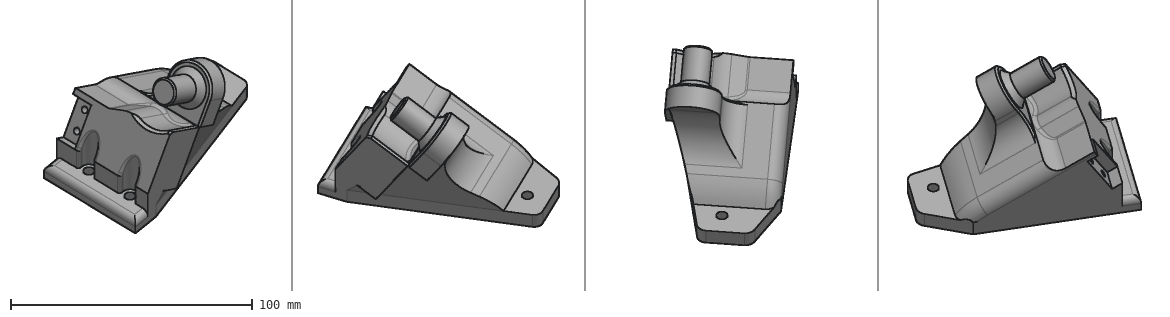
import cadquery as cq
import math

width = 50.0
length = 92.6
foot_height = 7.0
front_step = 8.0
front_round = 3.1
left_corner_round = 4.6
right_corner_round = 4.0
left_taper_start = 71.1
rear_left = 10.4
rear_right = 32.5
right_taper = 0.22
side_draft = 0.22
margin = 0.2
tool_size = 185.3

tilt = math.radians(30)
nose_height = 17.1
slope_v = 28.7
slope_end_u = 53.1
tail_radius = 30.4
edge_round = 6.0

shelf_v = 23.7
lug_face_u = 21.0
shelf_radius = 6.95

lug_radius = 11.5
pin_x = width - lug_radius
pin_v = 41.4
lug_thickness = 10.1
lug_chamfer = 0.9
lug_side_fillet = 10.0
lug_back_fillet = 18.0
pin_radius = 5.9
pin_end_u = 3.0
pin_chamfer = 0.7
cone_radius = 9.0
cone_length = 3.0

saddle_radius = 16.0
hump_start_x = 18.5
crest_radius = 10.3
hump_angle = math.radians(20.6)
lip_width = 1.7
saddle_blend = 2.0
saddle_chamfer = 1.1
saddle_chamfer_length = 1.85

notch_width = 10.0
notch_length = 20.8
notch_depth = 5.0
notch_hole_radius = 1.5
notch_hole_pitch = 10.0
notch_hole_depth = 10.0
screw_radius = 2.3
slot_radius = 3.9
slot_edge_round = 1.3
slot_pitch = 22.5
slot_xs = (pin_x - slot_pitch, pin_x)
slot_y = 9.9
rear_hole = (23.4, 83.1)


def yz(u, v):
    """Convert a tilted (u, v) point to (Y, Z)."""
    return (front_step + u * math.cos(tilt) + v * math.sin(tilt),
            nose_height - u * math.sin(tilt) + v * math.cos(tilt))


def across(u):
    """Workplane with axes X and v at depth u; positive extrusion goes toward the front."""
    y, z = yz(u, 0)
    return cq.Workplane(cq.Plane((0, y, z), (1, 0, 0), (0, -math.cos(tilt), math.sin(tilt))))


def along():
    """Workplane with axes u and v at X = 0; positive extrusion goes toward +X."""
    return cq.Workplane(
        cq.Plane((0, front_step, nose_height), (0, math.cos(tilt), -math.sin(tilt)), (1, 0, 0)))


def foot_plan():
    """Plan outline behind the front ledge, with the right side still straight where drafted."""
    right_start = length - (width - rear_right) / right_taper
    return [(0, front_step), (width, front_step), (width, right_start),
            (rear_right, length), (rear_left, length), (0, left_taper_start)]


def make_foot():
    plate = cq.Workplane("XY").polyline(foot_plan()).close().extrude(foot_height)
    plate = plate.edges("|Z and >Y").edges("<X").fillet(left_corner_round)
    plate = plate.edges(cq.selectors.NearestToPointSelector((rear_right, length, foot_height / 2)))
    plate = plate.fillet(right_corner_round)
    ledge = cq.Workplane("XY").box(width, front_step, foot_height, centered=False)
    ledge = ledge.faces(">Z").edges("<Y or <X or >X").fillet(front_round)
    return plate.union(ledge)


def make_side_trim():
    """Material outside the right side: vertical beside the foot, leaning outward above it."""
    taper_length = math.hypot(1, right_taper)
    outward = (1 / taper_length, right_taper / taper_length, 0)
    toward_front = (right_taper / taper_length, -1 / taper_length, 0)
    trim_plane = cq.Plane((rear_right, length, 0), outward, toward_front)
    rise = tool_size - foot_height
    return (cq.Workplane(trim_plane)
            .polyline([(0, 0), (0, foot_height), (side_draft * rise, tool_size),
                       (tool_size, tool_size), (tool_size, 0)])
            .close().extrude(tool_size / 2, both=True))


def make_wedge():
    center_y, center_z = yz(slope_end_u, slope_v - tail_radius)
    tail_y = center_y + math.sqrt(tail_radius**2 - center_z**2)
    end_angle = math.atan2(-center_z, tail_y - center_y)
    mid_angle = (math.pi / 2 - tilt + end_angle) / 2
    tail_mid = (center_y + tail_radius * math.cos(mid_angle),
                center_z + tail_radius * math.sin(mid_angle))
    wedge = (cq.Workplane("YZ").moveTo(front_step, 0).lineTo(*yz(0, 0)).lineTo(*yz(0, slope_v))
             .lineTo(*yz(slope_end_u, slope_v)).threePointArc(tail_mid, (tail_y, 0))
             .close().extrude(width))
    slope_y, slope_z = yz(slope_end_u / 2, slope_v)
    wedge = wedge.edges(cq.selectors.NearestToPointSelector((0, slope_y, slope_z))).fillet(edge_round)
    plan = cq.Workplane("XY").polyline(foot_plan()[:2] + [(width, length)] + foot_plan()[4:])
    wedge = wedge.intersect(plan.close().extrude(tool_size)).cut(make_side_trim())

    corner = shelf_radius * (1 - math.sqrt(0.5))
    shelf = (along().moveTo(-slope_v, shelf_v).lineTo(lug_face_u - shelf_radius, shelf_v)
             .threePointArc((lug_face_u - corner, shelf_v + corner),
                            (lug_face_u, shelf_v + shelf_radius))
             .lineTo(lug_face_u, tool_size).lineTo(-slope_v, tool_size).close().extrude(width))
    return wedge.cut(shelf)


def make_lug():
    """Front outline of the lug, limited by the curved back that runs out into the slope."""
    left = pin_x - lug_radius
    root = slope_v + lug_side_fillet
    side_corner = lug_side_fillet * (1 - math.sqrt(0.5))
    depth = lug_thickness + lug_back_fillet
    front = (across(lug_face_u).moveTo(width, shelf_v).lineTo(width, pin_v)
             .threePointArc((pin_x, pin_v + lug_radius), (left, pin_v)).lineTo(left, root)
             .threePointArc((left - side_corner, slope_v + side_corner),
                            (left - lug_side_fillet, slope_v))
             .lineTo(left, shelf_v).close().extrude(-depth))
    above_slope = cq.selectors.BoxSelector(
        (left - tool_size, -tool_size, yz(lug_face_u, slope_v)[1] + lug_chamfer),
        (tool_size, tool_size, tool_size))
    front = front.faces(cq.selectors.DirectionMinMaxSelector(
        cq.Vector(0, -math.cos(tilt), math.sin(tilt)))).edges(above_slope).chamfer(lug_chamfer)

    back_u = lug_face_u + lug_thickness
    back_corner = lug_back_fillet * (1 - math.sqrt(0.5))
    side = (along().moveTo(lug_face_u, shelf_v).lineTo(lug_face_u, pin_v + 2 * lug_radius)
            .lineTo(back_u, pin_v + 2 * lug_radius).lineTo(back_u, slope_v + lug_back_fillet)
            .threePointArc((back_u + back_corner, slope_v + back_corner),
                           (back_u + lug_back_fillet, slope_v))
            .lineTo(back_u, shelf_v).close().extrude(width))
    lug = front.intersect(side)

    ear = (along().moveTo(lug_face_u, slope_v).lineTo(back_u, slope_v)
           .lineTo(back_u, pin_v + 2 * lug_radius).lineTo(lug_face_u, pin_v + 2 * lug_radius)
           .close().extrude(width).intersect(lug))
    return lug.cut(make_side_trim()).union(ear)


def make_pin():
    cone_u = lug_face_u - cone_length
    return (along().moveTo(lug_face_u + lug_chamfer, pin_v)
            .lineTo(lug_face_u + lug_chamfer, pin_v + cone_radius)
            .lineTo(lug_face_u, pin_v + cone_radius).lineTo(cone_u, pin_v + pin_radius)
            .lineTo(pin_end_u + pin_chamfer, pin_v + pin_radius)
            .lineTo(pin_end_u, pin_v + pin_radius - pin_chamfer).lineTo(pin_end_u, pin_v)
            .close().revolve(360, (0, pin_v, 0), (1, pin_v, 0))
            .translate((pin_x, 0, 0)))


def make_saddle():
    """Sloped hump with a round crest, then a trough concentric with the pin and a side lip."""
    blend_x = pin_x - saddle_radius * math.sin(hump_angle)
    blend_v = pin_v - saddle_radius * math.cos(hump_angle)
    crest_x = blend_x - crest_radius * math.sin(hump_angle)
    crest_v = blend_v + crest_radius * (1 - math.cos(hump_angle))
    lip_x = width - lip_width
    lip_v = pin_v - math.sqrt(saddle_radius**2 - (lip_x - pin_x)**2)
    saddle = (across(lug_face_u).moveTo(hump_start_x, shelf_v)
              .lineTo(2 * crest_x - blend_x, blend_v)
              .threePointArc((crest_x, crest_v), (blend_x, blend_v))
              .threePointArc((pin_x, pin_v - saddle_radius), (lip_x, lip_v))
              .lineTo(width, lip_v).lineTo(width, 0).lineTo(hump_start_x, 0)
              .close().extrude(lug_face_u))
    flare = (along().moveTo(0, pin_v).lineTo(0, pin_v - saddle_radius - saddle_chamfer)
             .lineTo(saddle_chamfer_length, pin_v - saddle_radius)
             .lineTo(saddle_chamfer_length, pin_v)
             .close().revolve(360, (0, pin_v, 0), (1, pin_v, 0))
             .translate((pin_x, 0, 0)))
    lip_top = yz(saddle_chamfer_length, lip_v)[1]
    above_lip = cq.Workplane("XY", origin=(0, 0, lip_top)).rect(tool_size, tool_size).extrude(tool_size)
    nose = across(0).rect(tool_size, tool_size).extrude(-saddle_chamfer_length)
    return saddle.cut(flare).cut(nose.intersect(above_lip))


def cut_slots(body):
    """Access slots in the nose, with rounded mouths."""
    for x in slot_xs:
        slot = (cq.Workplane("XY", origin=(x, slot_y, foot_height))
                .moveTo(slot_radius, 0).threePointArc((0, slot_radius), (-slot_radius, 0))
                .lineTo(-slot_radius, -slot_y).lineTo(slot_radius, -slot_y).close()
                .extrude(tool_size))
        body = body.cut(slot)
        mouth = cq.selectors.BoxSelector(
            (x - slot_radius - margin, front_step - margin, foot_height + margin),
            (x + slot_radius + margin, slot_y + slot_radius + margin, slope_v))
        body = body.edges(mouth).fillet(slot_edge_round)
    return body


def cut_notch(body):
    """Side notch in the nose face with two blind holes in its floor."""
    notch = (across(0).rect(notch_width, notch_length, centered=False).extrude(-notch_depth))
    holes = (across(notch_depth).center(notch_width / 2, notch_length / 2)
             .rarray(0.9, notch_hole_pitch, 1, 2).circle(notch_hole_radius).extrude(-notch_hole_depth))
    return body.cut(notch).cut(holes)


def blend_saddle(body):
    """Round the valley where the saddle runs into the rounded rear of the shelf."""
    start_y, start_z = yz(lug_face_u - shelf_radius, shelf_v)
    end_y, end_z = yz(lug_face_u, slope_v)
    valley = cq.selectors.BoxSelector(
        (hump_start_x - margin, start_y - margin, end_z - slope_v / 2),
        (width - lip_width + margin, end_y + margin, start_z + slope_v / 2), boundingbox=True)
    curved = body.edges(valley).edges("not %LINE").edges("not %CIRCLE")
    return curved.fillet(saddle_blend)


body = blend_saddle(make_wedge().union(make_saddle()))
body = cut_slots(body)
body = cut_notch(body)
body = body.union(make_foot()).union(make_lug()).union(make_pin())
foot_holes = [(x, slot_y) for x in slot_xs] + [rear_hole]
screw_holes = cq.Workplane("XY").pushPoints(foot_holes).circle(screw_radius).extrude(foot_height)
result = body.cut(screw_holes)